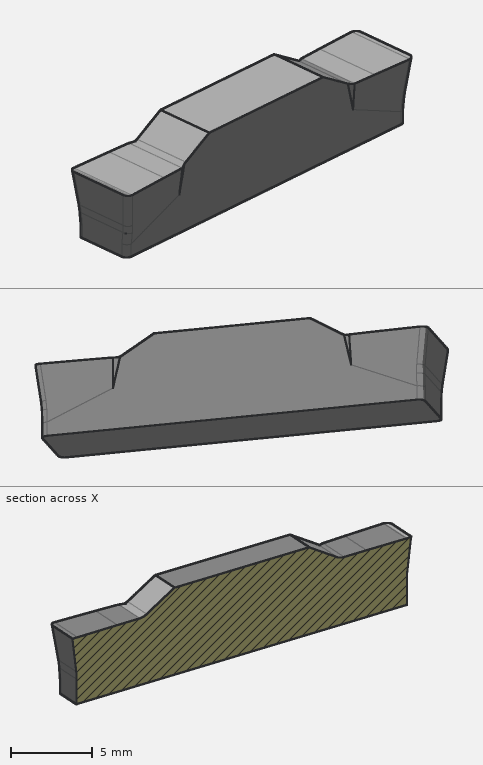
import cadquery as cq
import math


LENGTH = 25.06
HEIGHT = 5.97
CUTTING_WIDTH = 5.0
BODY_WIDTH = 4.18

HEAD_HEIGHT = 4.59
CORNER_RADIUS = 0.4
SIDE_RELIEF = 6.1
BACK_TAPER = 2.6
FRONT_RELIEF = 7.0
FRONT_BREAK_HEIGHT = 1.995
FRONT_BLEND_RADIUS = 4.3
HEAD_LENGTH = 5.0
NECK_RUN = 0.37
NECK_EDGE_LEAN = 2.1

RAKE_LAND = 0.38
RAKE_ANGLE = 5.0
GROOVE_LENGTH = 3.33
GROOVE_FLOOR_ANGLE = 0.3

RAMP_ANGLE = 31.0
RAMP_BLEND_RADIUS = 1.0
TOP_LENGTH = 9.94

HALF_LENGTH = LENGTH / 2
HALF_BODY = BODY_WIDTH / 2


def tan_deg(angle):
    return math.tan(math.radians(angle))


def sin_deg(angle):
    return math.sin(math.radians(angle))


def cos_deg(angle):
    return math.cos(math.radians(angle))


def half_profile(width):
    """Solid of the +Y half of the side outline, extruded symmetrically in X."""
    front_y = HALF_LENGTH - (HEAD_HEIGHT - FRONT_BREAK_HEIGHT) * tan_deg(FRONT_RELIEF)
    blend = FRONT_BLEND_RADIUS * tan_deg(FRONT_RELIEF / 2)
    blend_sagitta = FRONT_BLEND_RADIUS * (1 - cos_deg(FRONT_RELIEF / 2))
    blend_half_rise = FRONT_BLEND_RADIUS * sin_deg(FRONT_RELIEF / 2)
    blend_start_z = FRONT_BREAK_HEIGHT - blend
    blend_mid = (front_y + blend_sagitta, blend_start_z + blend_half_rise)
    blend_end = (
        front_y + blend * sin_deg(FRONT_RELIEF),
        FRONT_BREAK_HEIGHT + blend * cos_deg(FRONT_RELIEF),
    )

    groove_end_y = HALF_LENGTH - GROOVE_LENGTH
    land_y = HALF_LENGTH - RAKE_LAND
    land_z = HEAD_HEIGHT - (land_y - groove_end_y) * tan_deg(GROOVE_FLOOR_ANGLE)
    edge_z = land_z + RAKE_LAND * tan_deg((RAKE_ANGLE - GROOVE_FLOOR_ANGLE) / 2)
    edge_y = HALF_LENGTH - (HEAD_HEIGHT - edge_z) * tan_deg(FRONT_RELIEF)
    land_sagitta = RAKE_LAND / 2 * tan_deg((RAKE_ANGLE + GROOVE_FLOOR_ANGLE) / 4)
    land_mid = ((edge_y + land_y) / 2, (edge_z + land_z) / 2 - land_sagitta)

    ramp_top_y = TOP_LENGTH / 2
    ramp_foot_y = ramp_top_y + (HEIGHT - HEAD_HEIGHT) / tan_deg(RAMP_ANGLE)
    ramp_blend = RAMP_BLEND_RADIUS * tan_deg(RAMP_ANGLE / 2)
    ramp_start_y = ramp_foot_y + ramp_blend
    ramp_mid = (
        ramp_start_y - RAMP_BLEND_RADIUS * sin_deg(RAMP_ANGLE / 2),
        HEAD_HEIGHT + RAMP_BLEND_RADIUS * (1 - cos_deg(RAMP_ANGLE / 2)),
    )
    ramp_end = (
        ramp_foot_y - ramp_blend * cos_deg(RAMP_ANGLE),
        HEAD_HEIGHT + ramp_blend * sin_deg(RAMP_ANGLE),
    )

    return (
        cq.Workplane("YZ")
        .moveTo(0, 0)
        .lineTo(front_y, 0)
        .lineTo(front_y, blend_start_z)
        .threePointArc(blend_mid, blend_end)
        .lineTo(edge_y, edge_z)
        .threePointArc(land_mid, (land_y, land_z))
        .lineTo(groove_end_y, HEAD_HEIGHT)
        .lineTo(ramp_start_y, HEAD_HEIGHT)
        .threePointArc(ramp_mid, ramp_end)
        .lineTo(ramp_top_y, HEIGHT)
        .lineTo(0, HEIGHT)
        .close()
        .extrude(width / 2, both=True)
    )


def head_half_width(y, z):
    """Half-width of the head between its two tapered, relieved side faces."""
    widest_y = HALF_LENGTH - CORNER_RADIUS
    taper_loss = (widest_y - y) * tan_deg(BACK_TAPER)
    relief_loss = (HEAD_HEIGHT - z) * tan_deg(SIDE_RELIEF)
    return CUTTING_WIDTH / 2 - taper_loss - relief_loss


def head_section(z):
    """Plan outline of the head at height z, before its front is shaped."""
    rear_y = HALF_LENGTH - HEAD_LENGTH + (HEAD_HEIGHT - z) * tan_deg(NECK_EDGE_LEAN)
    rear_x = head_half_width(rear_y, z)
    front_x = head_half_width(HALF_LENGTH, z)

    shelf_rear_x = head_half_width(HALF_LENGTH - HEAD_LENGTH, HEAD_HEIGHT)
    neck_slope = NECK_RUN / (shelf_rear_x - HALF_BODY)
    neck_x = HALF_BODY / 2
    neck_y = rear_y - (rear_x - neck_x) * neck_slope

    plan = [
        (front_x, HALF_LENGTH),
        (rear_x, rear_y),
        (neck_x, neck_y),
        (-neck_x, neck_y),
        (-rear_x, rear_y),
        (-front_x, HALF_LENGTH),
    ]
    return [cq.Vector(x, y, z) for x, y in plan]


def flat_face(corners):
    return cq.Face.makeFromWires(cq.Wire.makePolygon(corners, close=True))


def head_block():
    """Flat-sided block carrying the tapered side faces and the neck slopes."""
    bottom = head_section(0)
    top = head_section(HEIGHT)
    faces = [flat_face(bottom), flat_face(top)]
    for i in range(len(bottom)):
        faces.append(flat_face([bottom[i - 1], bottom[i], top[i], top[i - 1]]))
    return cq.Workplane(cq.Solid.makeSolid(cq.Shell.makeShell(faces)))


def round_front_corners(solid):
    """Round the two upright chains of edges along the front face.

    Only edges centred near the front and clear of the shelf are taken.
    """
    near_front = cq.selectors.BoxSelector(
        (-CUTTING_WIDTH, HALF_LENGTH - 2 * CORNER_RADIUS, -HEIGHT),
        (CUTTING_WIDTH, HALF_LENGTH + CORNER_RADIUS, HEAD_HEIGHT - CORNER_RADIUS),
    )
    return solid.edges(near_front).edges("not |X").fillet(CORNER_RADIUS)


def body_half():
    """Central body, with the upper front left out where the wider head fills it."""
    pocket_y = HALF_LENGTH - 2 * RAKE_LAND
    pocket_z = HEAD_HEIGHT / 2
    pocket = cq.Workplane("XY").box(BODY_WIDTH, HALF_LENGTH, HEIGHT, centered=(True, False, False))
    body = round_front_corners(half_profile(BODY_WIDTH))
    return body.cut(pocket.translate((0, pocket_y, pocket_z)))


def head():
    return round_front_corners(half_profile(2 * CUTTING_WIDTH).intersect(head_block()))


half = body_half().union(head(), clean=True)
result = half.union(half.mirror("XZ"), clean=True)